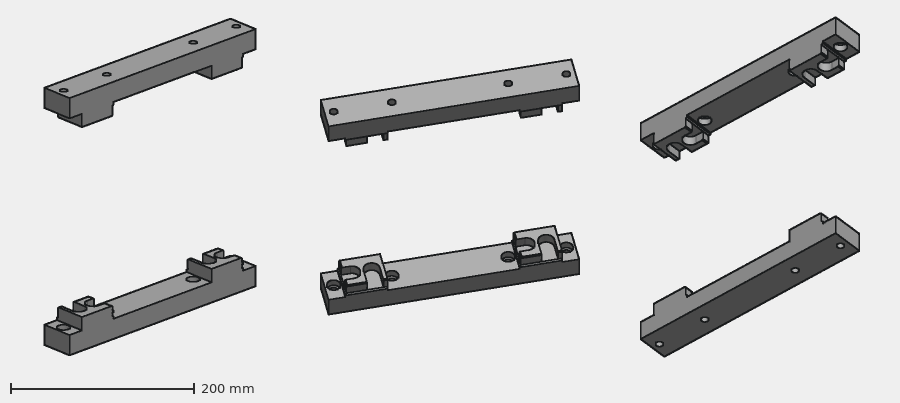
import cadquery as cq

total_height = 305.0
rail_width = 40.0
rail_length = 280.0
rail_thickness = 24.0

pad_pitch = 195.0
pad_top = 40.0
pad_length = 46.0
pad_reach = 23.8
foot_rise = 2.5
foot_bevel = 1.68
face_chamfer = 1.2

opening_radius = 9.0
slot_wall = 4.5
notch_depth = 19.5

bolt_diameter = 8.5
counterbore_diameter = 15.0
counterbore_depth = 8.5
bolt_offset = pad_pitch / 3

half_width = rail_width / 2
half_length = rail_length / 2
pad_floor = rail_thickness + foot_rise + foot_bevel
pad_positions = [-pad_pitch / 2, pad_pitch / 2]
bolt_positions = [-2 * bolt_offset, -bolt_offset, bolt_offset, 2 * bolt_offset]


def block(x_limits, y_limits, z_limits):
    """Box between the given pairs of limits."""
    start = (x_limits[0], y_limits[0], z_limits[0])
    size = (x_limits[1] - x_limits[0], y_limits[1] - y_limits[0], z_limits[1] - z_limits[0])
    return cq.Workplane("XY").box(*size, centered=False).translate(start)


def cylinders(diameter, y_positions, z_limits):
    """Vertical cylinders on the rail's centre line."""
    return (
        cq.Workplane("XY", origin=(0, 0, z_limits[0]))
        .pushPoints([(0, y) for y in y_positions])
        .circle(diameter / 2)
        .extrude(z_limits[1] - z_limits[0])
    )


def make_foot(low_end, high_end):
    """Low base of a pad, bevelled inwards on its -X and +Y sides."""
    foot = block(
        (-half_width, half_width),
        (low_end, high_end + foot_bevel),
        (rail_thickness, pad_floor),
    )
    return foot.edges(">Z and (<X or >Y)").chamfer(foot_bevel)


def cut_side_slot(body, low_end):
    """Round-ended slot open to -X."""
    slot_center = low_end + slot_wall + opening_radius
    z_limits = (pad_floor, pad_top)
    straight = block(
        (-half_width, 0),
        (slot_center - opening_radius, slot_center + opening_radius),
        z_limits,
    )
    return body.cut(straight).cut(cylinders(2 * opening_radius, [slot_center], z_limits))


def cut_end_notch(body, high_end):
    """Round-ended notch open to +Y."""
    notch_center = high_end - notch_depth + opening_radius
    z_limits = (pad_floor, pad_top)
    straight = block((-opening_radius, opening_radius), (notch_center, high_end), z_limits)
    return body.cut(straight).cut(cylinders(2 * opening_radius, [notch_center], z_limits))


def make_pad(y_position):
    """Pad on its foot, chamfered on its -X and +Y sides, with both openings."""
    low_end = y_position - pad_reach
    high_end = low_end + pad_length
    body = block(
        (-half_width + foot_bevel, half_width),
        (low_end, high_end),
        (pad_floor, pad_top),
    )
    body = body.edges(">Z and (<X or >Y)").chamfer(face_chamfer)
    body = cut_side_slot(body, low_end)
    body = cut_end_notch(body, high_end)
    return make_foot(low_end, high_end).union(body)


def make_rail():
    """Rail with its outer face at Z = 0 and its pads on top."""
    rail = block((-half_width, half_width), (-half_length, half_length), (0, rail_thickness))
    for y_position in pad_positions:
        rail = rail.union(make_pad(y_position))
    bolt_holes = cylinders(bolt_diameter, bolt_positions, (0, rail_thickness))
    counterbores = cylinders(
        counterbore_diameter,
        bolt_positions,
        (rail_thickness - counterbore_depth, rail_thickness),
    )
    return rail.cut(bolt_holes).cut(counterbores)


lower_rail = make_rail()
upper_rail = make_rail().mirror("XY").translate((0, 0, total_height))

result = cq.Compound.makeCompound([lower_rail.solids().val(), upper_rail.solids().val()])